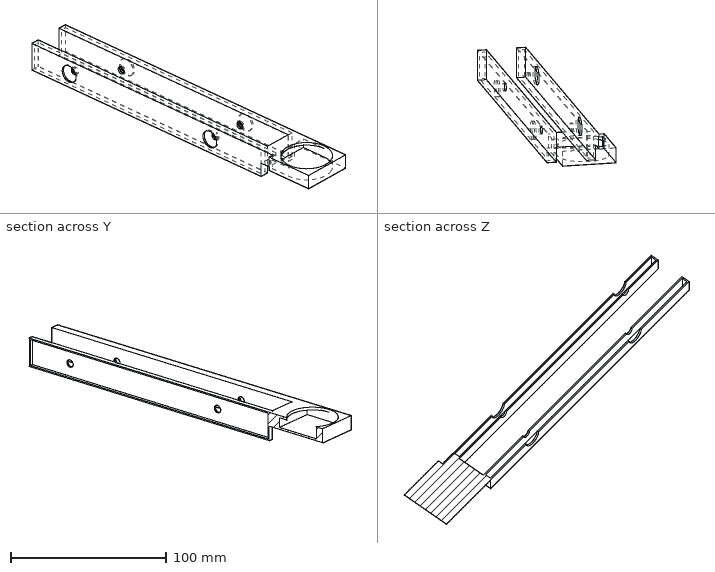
import cadquery as cq

length = 244.2
width = 35.5
height = 20.0

arm_length = 199.8
arm_thickness = 6.0
head_step = 3.5
head_length = 34.5
head_thickness = height / 2
near_arm_y = head_step

pocket_radius = 16.5
pocket_depth = 8.3
pocket_x = length - 17.8
pocket_y = width / 2

recess_roof = 2.0
recess_overlap = 1.5

arm_skin = 1.2

hole_diameter = 5.1
head_opening_diameter = 12.0
near_hole_positions = (32.5, 155.0)
far_hole_positions = (54.2, 157.5)
hole_z = height / 2


def box(x0, x1, y0, y1, z0, z1):
    """Axis-aligned box between opposite corners."""
    return cq.Workplane("XY").box(x1 - x0, y1 - y0, z1 - z0, centered=False).translate((x0, y0, z0))


def cross_hole(x, y, diameter, depth):
    """Cylinder running in +Y from the given start."""
    return cq.Workplane("XZ", origin=(x, y, hole_z)).circle(diameter / 2).extrude(-depth)


far_arm_y = width - arm_thickness
head_bottom = height - head_thickness
head_x = length - head_length
near_arm = box(0, arm_length, near_arm_y, near_arm_y + arm_thickness, 0, height)
far_arm = box(0, arm_length, far_arm_y, width, 0, height)
bridge = box(arm_length, length, near_arm_y, width, head_bottom, height)
step = box(head_x, length, 0, width, head_bottom, height)
result = near_arm.union(bridge).union(far_arm).union(step)

pocket_floor = height - pocket_depth
pocket = (
    cq.Workplane("XY", origin=(pocket_x, pocket_y, pocket_floor))
    .circle(pocket_radius)
    .extrude(pocket_depth)
)
recess = box(
    head_x - recess_overlap, pocket_x,
    pocket_y - pocket_radius, pocket_y + pocket_radius,
    pocket_floor, height - recess_roof,
)
result = result.cut(pocket).cut(recess)

for arm_y in (near_arm_y, far_arm_y):
    cavity = box(
        arm_skin, arm_length - arm_skin,
        arm_y + arm_skin, arm_y + arm_thickness - arm_skin,
        arm_skin, height - arm_skin,
    )
    result = result.cut(cavity)

for x in near_hole_positions:
    result = result.cut(cross_hole(x, near_arm_y, head_opening_diameter, arm_skin))
    result = result.cut(cross_hole(x, near_arm_y, hole_diameter, arm_thickness))
for x in far_hole_positions:
    result = result.cut(cross_hole(x, width - arm_skin, head_opening_diameter, arm_skin))
    result = result.cut(cross_hole(x, far_arm_y, hole_diameter, arm_thickness))